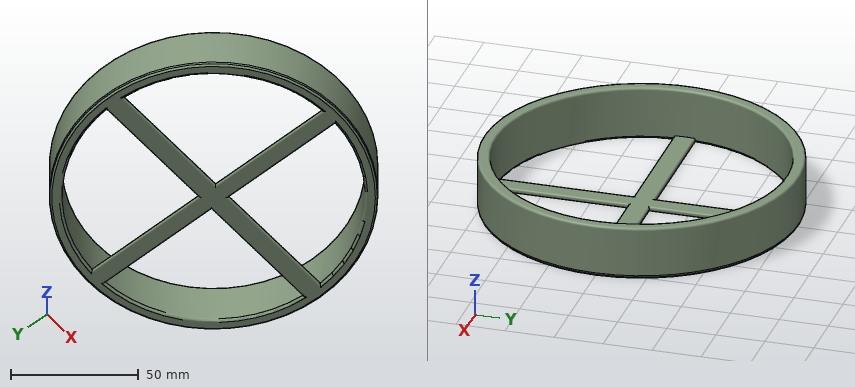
import cadquery as cq

outer_diameter = 128.5
bore_diameter = 118.5
height = 22.0
rim_radius = 1.0

steep_band_height = 0.8
steep_band_inset = 0.3
lower_bevel = 0.8

spoke_x_width = 8.6
spoke_y_width = 7.6
spoke_thickness = 1.9
spoke_edge_radius = 0.8

spoke_length = (outer_diameter + bore_diameter) / 2


def make_ring():
    """Revolved ring: bevelled lower outer rim, the other rims rounded."""
    outer = outer_diameter / 2
    bore = bore_diameter / 2
    bevel_radius = outer - steep_band_inset
    return (
        cq.Workplane("XZ")
        .moveTo(bore + rim_radius, 0)
        .lineTo(bevel_radius - lower_bevel, 0)
        .lineTo(bevel_radius, lower_bevel)
        .lineTo(outer, lower_bevel + steep_band_height)
        .lineTo(outer, height - rim_radius)
        .radiusArc((outer - rim_radius, height), -rim_radius)
        .lineTo(bore + rim_radius, height)
        .radiusArc((bore, height - rim_radius), -rim_radius)
        .lineTo(bore, rim_radius)
        .radiusArc((bore + rim_radius, 0), -rim_radius)
        .close()
        .revolve(360, (0, 0, 0), (0, 1, 0))
    )


def make_spoke(x_size, y_size, long_edges):
    """Flat bar with its four long edges rounded."""
    bar = cq.Workplane("XY").rect(x_size, y_size).extrude(spoke_thickness)
    return bar.edges(long_edges).fillet(spoke_edge_radius)


x_spoke = make_spoke(spoke_length, spoke_x_width, "|X")
y_spoke = make_spoke(spoke_y_width, spoke_length, "|Y")

result = make_ring().union(x_spoke).union(y_spoke)